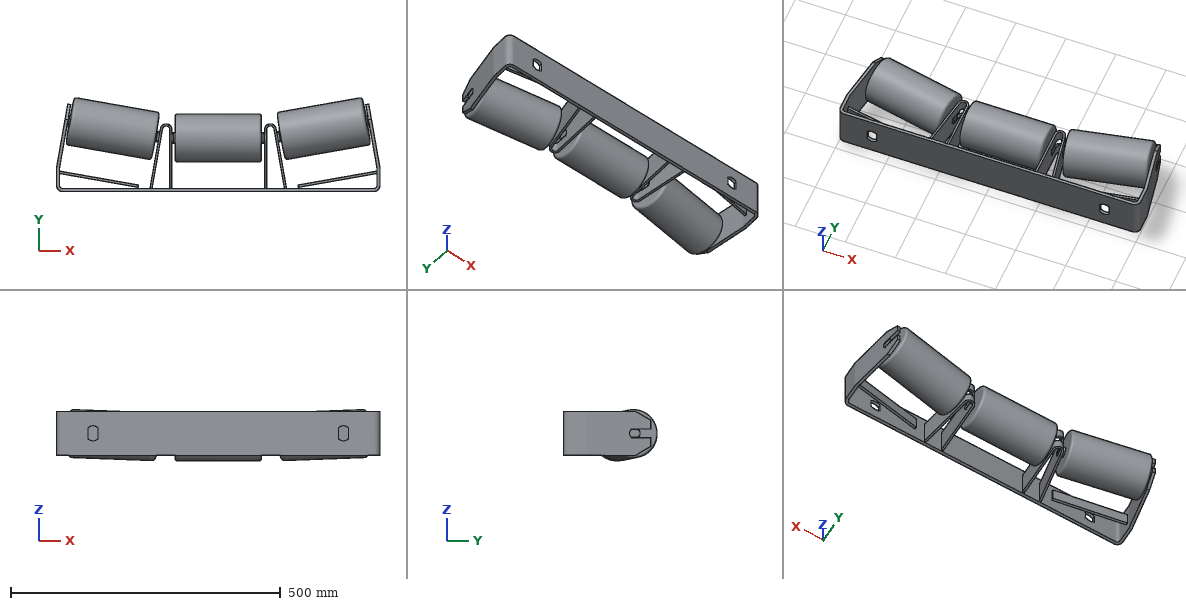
import cadquery as cq
import math

frame_length = 600.0
frame_height = 81.5
sheet = 6.0
bend_inner_radius = 6.0
bend_outer_radius = bend_inner_radius + sheet
lean = 10.0
end_bend_y = 44.5
leaning_length = 120.0
tip_chamfer_y = 29.0
tip_chamfer_z = 17.0

mount_slot_x = 232.0
mount_slot_width = 19.0
mount_slot_height = 28.0
mount_slot_side = 19.0

brace_thickness = 5.0
brace_height = 30.0
brace_end_x = 147.5
brace_end_y = 12.5

bracket_sheet = 4.0
bracket_height = 59.5
bracket_outer_radius = 11.0
bracket_leg_x = 86.0
bracket_top_y = 126.0

roller_diameter = 89.5
roller_length = 160.0
rim_fillet = 5.0
shaft_diameter = 20.0
shaft_length = 180.0
flat_length = 7.0
flat_thickness = 14.0
seat_width = 16.0

middle_roller_y = 99.5
middle_roller_z = -6.5
side_roller_x = 195.5
side_roller_y = 117.0

half_length = frame_length / 2
lean_cos = math.cos(math.radians(lean))
lean_sin = math.sin(math.radians(lean))
lean_tan = math.tan(math.radians(lean))
tip_y = end_bend_y + leaning_length * lean_cos
side_roller_z = middle_roller_z / 2
side_roller_dip = math.degrees(math.asin(-middle_roller_z / shaft_length))

roller_places = [
    ((-side_roller_x, side_roller_y, side_roller_z), -lean, side_roller_dip),
    ((0, middle_roller_y, middle_roller_z), 0, 0),
    ((side_roller_x, side_roller_y, side_roller_z), lean, -side_roller_dip),
]


def place_on_roller(shape, place):
    """Move a shape modelled along X about the origin onto one roller's axis."""
    centre, turn, dip = place
    dipped = shape.rotate((0, 0, 0), (0, 1, 0), dip)
    return dipped.rotate((0, 0, 0), (0, 0, 1), turn).translate(centre)


def with_mirror_image(shape):
    """Join a shape with its mirror image on the other side of the YZ plane."""
    return shape.union(shape.mirror("YZ"))


def rod_along_x(diameter, length):
    """Plain cylinder along X, centred on the origin."""
    return cq.Workplane("YZ", origin=(-length / 2, 0, 0)).circle(diameter / 2).extrude(length)


def extrude_over_z(outline, height):
    return outline.extrude(height / 2, both=True)


def half_sheet():
    """Right half of the bent sheet: back plate, upright and leaning end plate."""
    tip_x = half_length - leaning_length * lean_sin
    inner_bend_y = end_bend_y - sheet * math.tan(math.radians(lean / 2))
    outline = cq.Workplane("XY").polyline([
        (0, 0),
        (half_length, 0),
        (half_length, end_bend_y),
        (tip_x, tip_y),
        (tip_x - sheet * lean_cos, tip_y - sheet * lean_sin),
        (half_length - sheet, inner_bend_y),
        (half_length - sheet, sheet),
        (0, sheet),
    ]).close()
    body = extrude_over_z(outline, frame_height)
    bends = [
        ((half_length, 0), bend_outer_radius),
        ((half_length - sheet, sheet), bend_inner_radius),
        ((half_length, end_bend_y), bend_outer_radius),
        ((half_length - sheet, inner_bend_y), bend_inner_radius),
    ]
    for (x, y), radius in bends:
        body = body.edges(cq.NearestToPointSelector((x, y, 0))).fillet(radius)
    return body


def tip_chamfer_cutter():
    """Wedges that bevel the top and bottom corners of both end plates."""
    wedge = (
        cq.Workplane("YZ")
        .polyline([
            (tip_y - tip_chamfer_y, frame_height / 2),
            (tip_y, frame_height / 2),
            (tip_y, frame_height / 2 - tip_chamfer_z),
        ])
        .close()
        .extrude(half_length, both=True)
    )
    return wedge.union(wedge.mirror("XY"))


def mount_slot_cutter():
    """Right upright slot through the back plate, with shallow arcs at its ends."""
    half_width = mount_slot_width / 2
    half_side = mount_slot_side / 2
    half_height = mount_slot_height / 2
    return (
        cq.Workplane("XZ", origin=(mount_slot_x, 0, 0))
        .moveTo(-half_width, -half_side)
        .lineTo(-half_width, half_side)
        .threePointArc((0, half_height), (half_width, half_side))
        .lineTo(half_width, -half_side)
        .threePointArc((0, -half_height), (-half_width, -half_side))
        .close()
        .extrude(sheet, both=True)
    )


def brace():
    """Flat strut from the right end plate down to the back plate."""
    run = half_length - sheet / 2 - brace_end_x
    end_x = brace_end_x + brace_thickness * lean_sin
    end_y = brace_end_y - brace_thickness * lean_cos
    outline = cq.Workplane("XY").polyline([
        (brace_end_x, brace_end_y),
        (brace_end_x + run, brace_end_y + run * lean_tan),
        (brace_end_x + run, brace_end_y + run * lean_tan - brace_thickness / lean_cos),
        (end_x, end_y),
    ]).close()
    return extrude_over_z(outline, brace_height)


def bracket():
    """Right U-shaped roller bracket: one upright leg, a round top and one leaning leg."""
    centre_x = bracket_leg_x + bracket_outer_radius
    centre_y = bracket_top_y - bracket_outer_radius
    foot_y = sheet / 2

    def tangent_point(radius):
        return centre_x + radius * lean_cos, centre_y + radius * lean_sin

    def foot_point(radius):
        x, y = tangent_point(radius)
        return x + (y - foot_y) * lean_tan, foot_y

    outer = bracket_outer_radius
    inner = bracket_outer_radius - bracket_sheet
    outline = (
        cq.Workplane("XY")
        .moveTo(centre_x - outer, foot_y)
        .lineTo(centre_x - outer, centre_y)
        .threePointArc((centre_x, centre_y + outer), tangent_point(outer))
        .lineTo(*foot_point(outer))
        .lineTo(*foot_point(inner))
        .lineTo(*tangent_point(inner))
        .threePointArc((centre_x, centre_y + inner), (centre_x - inner, centre_y))
        .lineTo(centre_x - inner, foot_y)
        .close()
    )
    return extrude_over_z(outline, bracket_height).translate((0, 0, middle_roller_z))


def shaft_seat_cutter():
    """Slots for both shaft ends, open towards +Y, with round bottoms that fit the shaft."""
    seat_length = shaft_length + 2 * bracket_outer_radius
    open_end = leaning_length
    upper_part = cq.Workplane("XY").box(seat_length, open_end, seat_width)
    upper_part = upper_part.translate((0, open_end / 2, 0))
    lower_part = cq.Workplane("XY").box(seat_length, shaft_diameter, seat_width)
    lower_part = lower_part.intersect(rod_along_x(shaft_diameter, seat_length))
    return upper_part.union(lower_part)


def make_frame():
    body = with_mirror_image(half_sheet())
    body = body.cut(tip_chamfer_cutter())
    for part in (brace(), bracket()):
        body = body.union(with_mirror_image(part))
    slot = mount_slot_cutter()
    body = body.cut(slot).cut(slot.mirror("YZ"))
    for place in roller_places:
        body = body.cut(place_on_roller(shaft_seat_cutter(), place))
    return body


def make_roller():
    """Roller drum with rounded rims and a shaft flattened at both ends, along X."""
    drum = rod_along_x(roller_diameter, roller_length).edges().fillet(rim_fillet)
    shaft = rod_along_x(shaft_diameter, shaft_length)
    for end in (-1, 1):
        for side in (-1, 1):
            flat = cq.Workplane("XY").box(flat_length, shaft_diameter, shaft_diameter)
            shaft = shaft.cut(flat.translate((
                end * (shaft_length - flat_length) / 2,
                0,
                side * (flat_thickness + shaft_diameter) / 2,
            )))
    return drum.union(shaft)


frame = make_frame()
rollers = [place_on_roller(make_roller(), place) for place in roller_places]

result = cq.Compound.makeCompound([frame.val(), *[roller.val() for roller in rollers]])